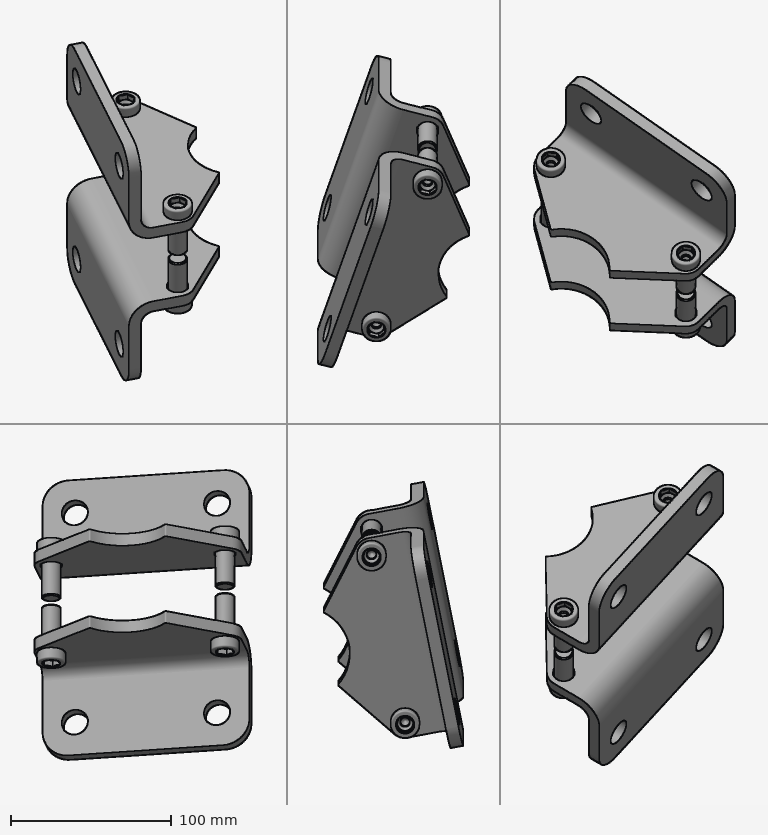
import cadquery as cq
import math

WIDTH = 131.0
THICKNESS = 8.0
INNER_GAP = 50.0
OVERALL_HEIGHT = 184.0
SHELF_DEPTH = 71.45
BEND_INNER_RADIUS = 8.0
BEND_OUTER_RADIUS = BEND_INNER_RADIUS + THICKNESS
FLANGE_CORNER_RADIUS = 16.5
SHELF_Z = INNER_GAP / 2
SHELF_TOP_Z = SHELF_Z + THICKNESS
FLANGE_TOP_Z = OVERALL_HEIGHT / 2

MOUNT_HOLE_DIAMETER = 16.5
MOUNT_SPACING_X = 90.0
MOUNT_SPACING_Z = 140.0

BOLT_SPACING = 110.0
BOLT_X = BOLT_SPACING / 2
BOLT_Y = 35.0
CLEARANCE_HOLE_DIAMETER = 13.5
SHELF_CORNER_RADIUS = WIDTH / 2 - BOLT_X

SADDLE_RADIUS = 30.0
SADDLE_CENTRE_Y = 90.0
SADDLE_BOTTOM_Y = SADDLE_CENTRE_Y - SADDLE_RADIUS
TIP_RADIUS = 1.0
TIP_CENTRE_Y = SHELF_DEPTH - TIP_RADIUS
TIP_CENTRE_X = math.sqrt((SADDLE_RADIUS + TIP_RADIUS) ** 2 - (SADDLE_CENTRE_Y - TIP_CENTRE_Y) ** 2)

SHANK_DIAMETER = 12.0
SHANK_LENGTH = 30.0
SHANK_CHAMFER = 0.8
HEAD_DIAMETER = 18.0
HEAD_HEIGHT = 7.5
HEAD_EDGE_RADIUS = 1.0
SOCKET_ACROSS_FLATS = 10.0
SOCKET_CORNER_DIAMETER = SOCKET_ACROSS_FLATS / math.cos(math.radians(30))
SOCKET_MOUTH_DIAMETER = SOCKET_CORNER_DIAMETER
SOCKET_DEPTH = 4.0
PILOT_DIAMETER = 6.0
PILOT_DEPTH = 8.0
CONE_HALF_ANGLE = math.radians(45)
MOUTH_HALF_ANGLE = math.radians(60)


def bent_strip():
    """Full-width L profile: shelf along +Y, bend, flange along +Z."""
    return (
        cq.Workplane("YZ")
        .moveTo(SHELF_DEPTH, SHELF_Z)
        .lineTo(BEND_OUTER_RADIUS, SHELF_Z)
        .radiusArc((0, SHELF_Z + BEND_OUTER_RADIUS), BEND_OUTER_RADIUS)
        .lineTo(0, FLANGE_TOP_Z)
        .lineTo(THICKNESS, FLANGE_TOP_Z)
        .lineTo(THICKNESS, SHELF_Z + BEND_OUTER_RADIUS)
        .radiusArc((BEND_OUTER_RADIUS, SHELF_TOP_Z), -BEND_INNER_RADIUS)
        .lineTo(SHELF_DEPTH, SHELF_TOP_Z)
        .close()
        .extrude(WIDTH / 2, both=True)
    )


def shelf_outline():
    """Prism over the plan outline: tapered sides, rounded bolt corners and tips, saddle between the tips."""
    run = BOLT_X - TIP_CENTRE_X
    rise = TIP_CENTRE_Y - BOLT_Y
    radius_step = SHELF_CORNER_RADIUS - TIP_RADIUS
    taper = math.atan2(rise, run) - math.asin(radius_step / math.hypot(run, rise))
    normal_angle = math.pi / 2 - taper

    def corner_point(angle):
        x = BOLT_X + SHELF_CORNER_RADIUS * math.cos(angle)
        y = BOLT_Y + SHELF_CORNER_RADIUS * math.sin(angle)
        return x, y

    corner_mid = corner_point(normal_angle / 2)
    corner_end = corner_point(normal_angle)
    tip_start = (
        TIP_CENTRE_X + TIP_RADIUS * math.cos(normal_angle),
        TIP_CENTRE_Y + TIP_RADIUS * math.sin(normal_angle),
    )
    saddle_share = SADDLE_RADIUS / (SADDLE_RADIUS + TIP_RADIUS)
    tip_end = (
        TIP_CENTRE_X * saddle_share,
        SADDLE_CENTRE_Y + (TIP_CENTRE_Y - SADDLE_CENTRE_Y) * saddle_share,
    )
    tip_top = (TIP_CENTRE_X, SHELF_DEPTH)

    def mirrored(point):
        return -point[0], point[1]

    return (
        cq.Workplane("XY")
        .moveTo(-WIDTH / 2, 0)
        .lineTo(WIDTH / 2, 0)
        .lineTo(WIDTH / 2, BOLT_Y)
        .threePointArc(corner_mid, corner_end)
        .lineTo(*tip_start)
        .threePointArc(tip_top, tip_end)
        .threePointArc((0, SADDLE_BOTTOM_Y), mirrored(tip_end))
        .threePointArc(mirrored(tip_top), mirrored(tip_start))
        .lineTo(*mirrored(corner_end))
        .threePointArc(mirrored(corner_mid), (-WIDTH / 2, BOLT_Y))
        .close()
        .extrude(FLANGE_TOP_Z)
    )


def make_bracket():
    """Upper bracket: bent strip trimmed to the shelf outline, rounded and drilled."""
    bracket = bent_strip().intersect(shelf_outline())
    bracket = bracket.faces(">Z").edges("|Y").fillet(FLANGE_CORNER_RADIUS)
    mount_holes = (
        cq.Workplane("XZ")
        .pushPoints([(side * MOUNT_SPACING_X / 2, MOUNT_SPACING_Z / 2) for side in (-1, 1)])
        .circle(MOUNT_HOLE_DIAMETER / 2)
        .extrude(-THICKNESS)
    )
    bolt_holes = (
        cq.Workplane("XY", origin=(0, 0, SHELF_Z))
        .pushPoints([(side * BOLT_X, BOLT_Y) for side in (-1, 1)])
        .circle(CLEARANCE_HOLE_DIAMETER / 2)
        .extrude(THICKNESS)
    )
    return bracket.cut(mount_holes).cut(bolt_holes)


def make_socket():
    """Hexagonal socket with a chamfered mouth, a conical floor and a drilled pilot hole."""
    floor_z = HEAD_HEIGHT - SOCKET_DEPTH
    pilot_z = HEAD_HEIGHT - PILOT_DEPTH
    flat_radius = SOCKET_ACROSS_FLATS / 2
    mouth_radius = SOCKET_MOUTH_DIAMETER / 2
    pilot_radius = PILOT_DIAMETER / 2
    mouth_z = HEAD_HEIGHT - (mouth_radius - flat_radius) / math.tan(MOUTH_HALF_ANGLE)
    hexagon = (
        cq.Workplane("XY", origin=(0, 0, floor_z))
        .polygon(6, SOCKET_CORNER_DIAMETER)
        .extrude(SOCKET_DEPTH)
        .rotate((0, 0, 0), (0, 0, 1), 30)
    )
    turned_profile = (
        cq.Workplane("XZ")
        .moveTo(0, HEAD_HEIGHT)
        .lineTo(mouth_radius, HEAD_HEIGHT)
        .lineTo(flat_radius, mouth_z)
        .lineTo(flat_radius, floor_z)
        .lineTo(pilot_radius, floor_z - (flat_radius - pilot_radius) / math.tan(CONE_HALF_ANGLE))
        .lineTo(pilot_radius, pilot_z)
        .lineTo(0, pilot_z - pilot_radius / math.tan(CONE_HALF_ANGLE))
        .close()
    )
    return hexagon.union(turned_profile.revolve(360, (0, 0, 0), (0, 1, 0)))


def make_bolt():
    """Bolt on the Z axis with the underside of its head at Z = 0."""
    head = (
        cq.Workplane("XY")
        .circle(HEAD_DIAMETER / 2)
        .extrude(HEAD_HEIGHT)
        .edges()
        .fillet(HEAD_EDGE_RADIUS)
    )
    shank = (
        cq.Workplane("XY")
        .circle(SHANK_DIAMETER / 2)
        .extrude(-SHANK_LENGTH)
        .faces("<Z")
        .chamfer(SHANK_CHAMFER)
    )
    return head.union(shank).cut(make_socket())


upper_bracket = make_bracket()
lower_bracket = upper_bracket.mirror("XY")

bolts = []
for side in (-1, 1):
    upper_bolt = make_bolt().translate((side * BOLT_X, BOLT_Y, SHELF_TOP_Z))
    bolts.append(upper_bolt.val())
    bolts.append(upper_bolt.mirror("XY").val())

result = cq.Compound.makeCompound([upper_bracket.val(), lower_bracket.val(), *bolts])